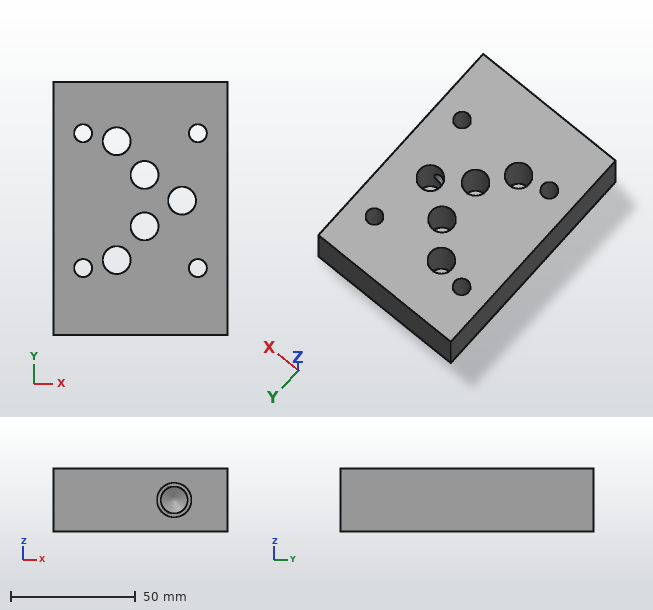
import cadquery as cq
import math

WIDTH = 69.9
LENGTH = 101.6
HEIGHT = 25.4

PATTERN_Y = 3.1
BOLT_DIAMETER = 7.1
BOLT_SPACING_X = 46.0
BOLT_SPACING_Y = 54.1
PASSAGE_DIAMETER = 11.1
SUPPLY_PASSAGE_X = 16.7
INNER_PASSAGE_X = 1.6
INNER_PASSAGE_SPACING = 20.6
OUTER_PASSAGE_X = -9.5
OUTER_PASSAGE_SPACING = 47.7

PORT_X = 13.5
PORT_DIAMETER = 13.8
PORT_DEPTH = 15.2
DRILL_DIAMETER = 10.8
DRILL_POINT_ANGLE = 120.0
DRILL_OVERRUN = 1.0


def through_holes(points, diameter):
    """Vertical cylinders spanning the full height of the block."""
    return (
        cq.Workplane("XY", origin=(0, PATTERN_Y, -HEIGHT / 2))
        .pushPoints(points)
        .circle(diameter / 2)
        .extrude(HEIGHT)
    )


def mirrored_pair(x, spacing):
    """Two points at the same x, equally spaced about the pattern line."""
    return [(x, -spacing / 2), (x, spacing / 2)]


def supply_port():
    """Stepped bore running toward +Y, ending in a drill point."""
    port_radius = PORT_DIAMETER / 2
    drill_radius = DRILL_DIAMETER / 2
    drill_depth = LENGTH / 2 + PATTERN_Y + PASSAGE_DIAMETER / 2 + DRILL_OVERRUN
    point_length = drill_radius / math.tan(math.radians(DRILL_POINT_ANGLE / 2))
    half_section = [
        (0, 0),
        (port_radius, 0),
        (port_radius, PORT_DEPTH),
        (drill_radius, PORT_DEPTH),
        (drill_radius, drill_depth),
        (0, drill_depth + point_length),
    ]
    return (
        cq.Workplane("XY", origin=(PORT_X, -LENGTH / 2, 0))
        .polyline(half_section)
        .close()
        .revolve(360, (0, 0, 0), (0, 1, 0))
    )


bolt_points = [
    point
    for x in (-BOLT_SPACING_X / 2, BOLT_SPACING_X / 2)
    for point in mirrored_pair(x, BOLT_SPACING_Y)
]
passage_points = [
    (SUPPLY_PASSAGE_X, 0),
    *mirrored_pair(INNER_PASSAGE_X, INNER_PASSAGE_SPACING),
    *mirrored_pair(OUTER_PASSAGE_X, OUTER_PASSAGE_SPACING),
]

block = cq.Workplane("XY").box(WIDTH, LENGTH, HEIGHT)
result = (
    block
    .cut(through_holes(bolt_points, BOLT_DIAMETER))
    .cut(through_holes(passage_points, PASSAGE_DIAMETER))
    .cut(supply_port())
)